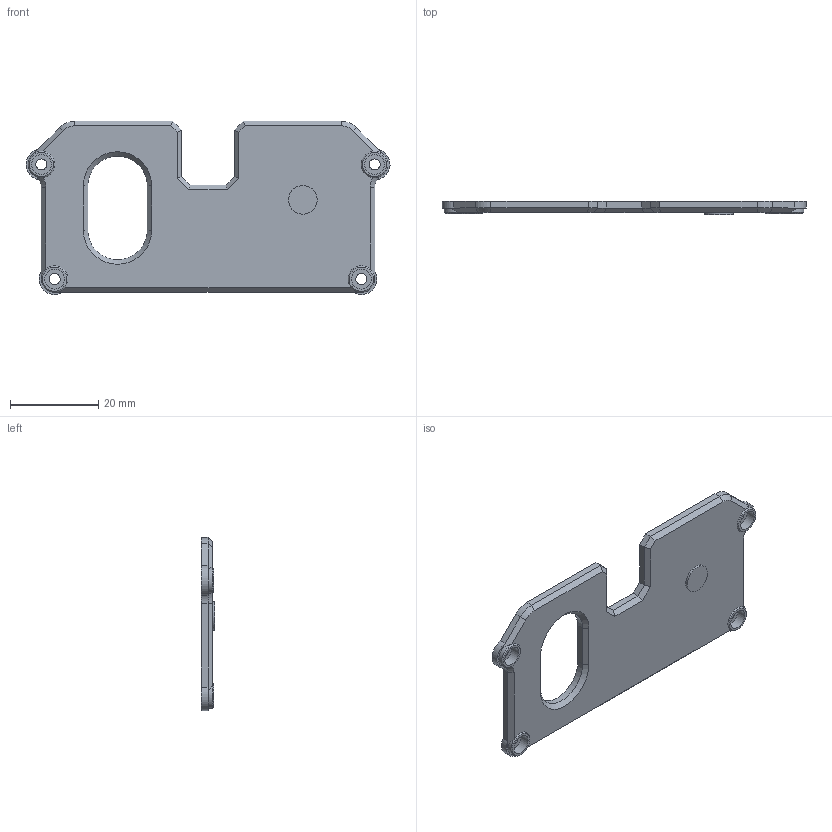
import cadquery as cq
import math

overall_width = 82.51
overall_height = 39.25
overall_thickness = 3.02

pad_rise = 0.5
plate_thickness = overall_thickness - pad_rise
edge_chamfer = 1.0
shoulder_radius = 5.0
ear_fillet_radius = 3.0

base_disc_radius = 3.5
base_disc_thickness = plate_thickness - edge_chamfer
boss_radius = 3.0
boss_rise = 0.25
boss_height = plate_thickness + boss_rise
boss_chamfer = boss_rise
screw_hole_diameter = 2.5
counterbore_diameter = 4.5
counterbore_depth = 2.25
boss_spacing_z = 26.0

notch_half_width = 6.0
notch_depth = 14.5
notch_corner = 2.0

window_x = -20.5
window_z = 0.0
window_radius = 6.75
window_straight = 10.0

pad_diameter = 6.47
pad_x = 21.5
pad_z = 1.85

side_x = overall_width / 2 - base_disc_radius
top_z = overall_height / 2
lower_boss_z = base_disc_radius - overall_height / 2
lower_boss_x = side_x - boss_radius
bottom_z = lower_boss_z - boss_radius
upper_boss_z = lower_boss_z + boss_spacing_z
upper_boss_x = side_x
notch_floor_z = top_z - notch_depth
boss_centers = [
    (side * x, z)
    for side in (-1, 1)
    for x, z in ((upper_boss_x, upper_boss_z), (lower_boss_x, lower_boss_z))
]


def front_plane(y=0.0):
    """Sketch plane parallel to XZ at depth y; extrusion runs toward -Y."""
    return cq.Workplane(cq.Plane(origin=(0, y, 0), xDir=(1, 0, 0), normal=(0, -1, 0)))


def cylinder(x, z, radius, height, start=0.0):
    """Cylinder growing toward the front (-Y), from a level above the back face."""
    return front_plane(-start).center(x, z).circle(radius).extrude(height)


def polar(center, radius, degrees):
    """Point on a circle, measured counter-clockwise from +X."""
    angle = math.radians(degrees)
    return (center[0] + radius * math.cos(angle), center[1] + radius * math.sin(angle))


def half_plate():
    """Right half of the plate, rounded concentric with the screw bosses."""
    upper = (upper_boss_x, upper_boss_z)
    lower = (lower_boss_x, lower_boss_z)

    center_distance = boss_radius + ear_fillet_radius
    ear_drop = math.sqrt(center_distance ** 2 - ear_fillet_radius ** 2)
    ear_center = (side_x + ear_fillet_radius, upper_boss_z - ear_drop)
    ear_angle = math.degrees(math.atan2(ear_drop, ear_fillet_radius))

    shoulder_z = top_z - shoulder_radius
    shoulder_x = (
        upper_boss_x + upper_boss_z - shoulder_z
        + math.sqrt(2) * (boss_radius - shoulder_radius)
    )
    shoulder = (shoulder_x, shoulder_z)

    return (
        front_plane()
        .moveTo(0, bottom_z)
        .lineTo(lower_boss_x, bottom_z)
        .threePointArc(polar(lower, boss_radius, -45), (side_x, lower_boss_z))
        .lineTo(side_x, ear_center[1])
        .threePointArc(
            polar(ear_center, ear_fillet_radius, 180 - ear_angle / 2),
            polar(ear_center, ear_fillet_radius, 180 - ear_angle),
        )
        .threePointArc(polar(upper, boss_radius, 0), polar(upper, boss_radius, 45))
        .lineTo(*polar(shoulder, shoulder_radius, 45))
        .threePointArc(polar(shoulder, shoulder_radius, 67.5), (shoulder_x, top_z))
        .lineTo(notch_half_width + notch_corner, top_z)
        .lineTo(notch_half_width, top_z - notch_corner)
        .lineTo(notch_half_width, notch_floor_z + notch_corner)
        .lineTo(notch_half_width - notch_corner, notch_floor_z)
        .lineTo(0, notch_floor_z)
        .close()
        .extrude(plate_thickness)
    )


def make_plate():
    """Mirrored plate with the window; every front edge is bevelled."""
    right_half = half_plate()
    plate = right_half.union(right_half.mirror("YZ")).clean()
    window = (
        front_plane()
        .center(window_x, window_z)
        .slot2D(window_straight + 2 * window_radius, 2 * window_radius, 90)
        .extrude(plate_thickness)
    )
    return plate.cut(window).faces("<Y").edges().chamfer(edge_chamfer)


def add_boss(body, x, z):
    """Wide base disc with a narrower boss whose rim is bevelled."""
    boss = cylinder(x, z, boss_radius, boss_height).faces("<Y").edges().chamfer(boss_chamfer)
    return body.union(cylinder(x, z, base_disc_radius, base_disc_thickness)).union(boss)


def cut_screw_hole(body, x, z):
    """Through hole with a counterbore sunk from the front of the boss."""
    hole = cylinder(x, z, screw_hole_diameter / 2, boss_height)
    counterbore = cylinder(
        x, z, counterbore_diameter / 2, counterbore_depth, boss_height - counterbore_depth
    )
    return body.cut(hole).cut(counterbore)


result = make_plate()
for boss_x, boss_z in boss_centers:
    result = add_boss(result, boss_x, boss_z)
    result = cut_screw_hole(result, boss_x, boss_z)
result = result.union(cylinder(pad_x, pad_z, pad_diameter / 2, overall_thickness))